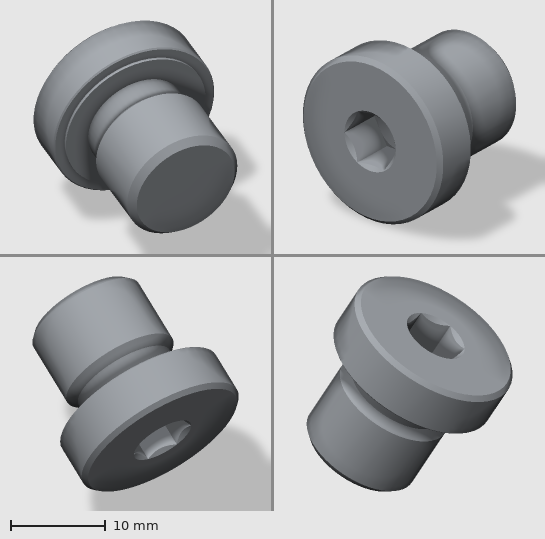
import cadquery as cq
import math

total_length = 17.3

head_radius = 9.5
head_length = 5.28
head_front_chamfer = 0.5
head_back_chamfer = 0.15

seat_radius = 8.25
seat_end = 5.6

neck_radius = 5.62
neck_end = 8.26

shank_radius = 6.5
shank_start_chamfer_length = 0.95
shank_end_chamfer_length = 0.78
shank_end_radius = 5.78

hex_across_flats = 6.0
hex_depth = 5.0
drill_point_angle = 118
lead_in_angle = 90

hex_across_corners = hex_across_flats / math.cos(math.radians(30))


def turned_body():
    """Head, sealing seat, undercut neck and shank as one revolved profile."""
    profile = [
        (0, 0),
        (0, head_radius - head_front_chamfer),
        (head_front_chamfer, head_radius),
        (head_length - head_back_chamfer, head_radius),
        (head_length, head_radius - head_back_chamfer),
        (head_length, seat_radius),
        (seat_end, seat_radius),
        (seat_end, neck_radius),
        (neck_end, neck_radius),
        (neck_end + shank_start_chamfer_length, shank_radius),
        (total_length - shank_end_chamfer_length, shank_radius),
        (total_length, shank_end_radius),
        (total_length, 0),
    ]
    return cq.Workplane("XY").polyline(profile).close().revolve(360, (0, 0, 0), (1, 0, 0))


def cone_along_x(start, radius, included_angle):
    """Cone with its base at X = start and its tip pointing into the part."""
    height = radius / math.tan(math.radians(included_angle / 2))
    return cq.Workplane(cq.Solid.makeCone(radius, 0, height, cq.Vector(start, 0, 0), cq.Vector(1, 0, 0)))


def hex_socket():
    """Hexagon socket with corners along Y, a conical lead-in and a drill point."""
    hexagon = cq.Workplane("YZ").polygon(6, hex_across_corners).extrude(hex_depth)
    lead_in = cone_along_x(0, hex_across_corners / 2, lead_in_angle)
    drill_point = cone_along_x(hex_depth, hex_across_flats / 2, drill_point_angle)
    return hexagon.union(lead_in).union(drill_point)


result = turned_body().cut(hex_socket())